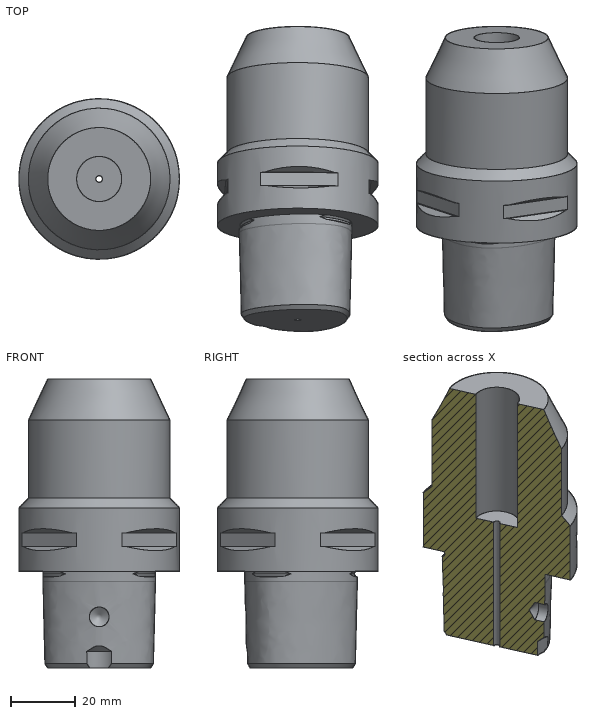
import cadquery as cq
import math

TOTAL_HEIGHT = 90.0
SHANK_CHAMFER_HEIGHT = 1.35
TAPER_TOP = 27.0
COLLAR_BOTTOM = 30.1
COLLAR_TOP = 49.9
SHOULDER_TOP = 52.9
NOSE_START = 77.1

COLLAR_RADIUS = 25.0
BODY_RADIUS = 22.05
NOSE_RADIUS = 16.0
BORE_RADIUS = 7.0
BORE_DEPTH = 45.0
COOLANT_RADIUS = 1.0

LOBE_COUNT = 3
FIRST_LOBE_ANGLE = 90.0
SHANK_RADIUS = 17.55
LOBE_HEIGHT = 1.035
TAPER_SLOPE = 1 / 40
SHANK_CHAMFER = 0.9
OUTLINE_POINTS = 36

RELIEF_TOP_RADIUS = 18.0
RELIEF_FLOOR_RADIUS = 17.6
RELIEF_FLOOR_DROP = 0.7
RELIEF_STEP_RADIUS = 18.0
RELIEF_STEP_DROP = 1.4
RELIEF_OUTER_RADIUS = 18.9
RELIEF_DROP = 2.0

SLOT_COUNT = 4
SLOT_FIRST_ANGLE = 45.0
SLOT_HEIGHT = 40.0
SLOT_FLOOR_DISTANCE = 22.0
SLOT_FLARE_DISTANCE = 22.6
SLOT_FLOOR_WIDTH = 4.2
SLOT_MOUTH_WIDTH = 6.8

DIMPLE_RADIUS = 3.1
DIMPLE_HEIGHT = 15.9
DIMPLE_DEPTH = 3.3
DIMPLE_TIP_ANGLE = 118.0
NOTCH_RADIUS = 5.2
NOTCH_AXIS_Y = -19.2
NOTCH_HEIGHT = 5.1
NOTCH_TIP_ANGLE = 98.0


def turned_body():
    profile = [
        (0, COLLAR_BOTTOM),
        (COLLAR_RADIUS, COLLAR_BOTTOM),
        (COLLAR_RADIUS, COLLAR_TOP),
        (BODY_RADIUS, SHOULDER_TOP),
        (BODY_RADIUS, NOSE_START),
        (NOSE_RADIUS, TOTAL_HEIGHT),
        (0, TOTAL_HEIGHT),
    ]
    return cq.Workplane("XZ").polyline(profile).close().revolve(360, (0, 0), (0, 1))


def lobed_point(mean_radius, angle):
    """Point whose tangent lies mean_radius + LOBE_HEIGHT * cos(3 * lobe angle) from the axis."""
    lobe_angle = LOBE_COUNT * (angle - math.radians(FIRST_LOBE_ANGLE))
    distance = mean_radius + LOBE_HEIGHT * math.cos(lobe_angle)
    slide = -LOBE_COUNT * LOBE_HEIGHT * math.sin(lobe_angle)
    x = distance * math.cos(angle) - slide * math.sin(angle)
    y = distance * math.sin(angle) + slide * math.cos(angle)
    return x, y


def lobed_wire(mean_radius, height):
    start = math.radians(-FIRST_LOBE_ANGLE)
    step = 2 * math.pi / OUTLINE_POINTS
    points = [cq.Vector(*lobed_point(mean_radius, start + i * step), height) for i in range(OUTLINE_POINTS)]
    return cq.Wire.assembleEdges([cq.Edge.makeSpline(points, periodic=True)])


def shank():
    chamfer_radius = SHANK_RADIUS - TAPER_SLOPE * (TAPER_TOP - SHANK_CHAMFER_HEIGHT)
    sections = [
        lobed_wire(chamfer_radius - SHANK_CHAMFER, 0),
        lobed_wire(chamfer_radius, SHANK_CHAMFER_HEIGHT),
        lobed_wire(SHANK_RADIUS, TAPER_TOP),
        lobed_wire(SHANK_RADIUS, COLLAR_BOTTOM),
    ]
    body = cq.Workplane("XY")
    for lower, upper in zip(sections, sections[1:]):
        body = body.add(cq.Solid.makeLoft([lower, upper], True))
    return body.combine()


def lobe_reliefs():
    profile = [
        (RELIEF_TOP_RADIUS, COLLAR_BOTTOM),
        (RELIEF_FLOOR_RADIUS, COLLAR_BOTTOM - RELIEF_FLOOR_DROP),
        (RELIEF_STEP_RADIUS, COLLAR_BOTTOM - RELIEF_STEP_DROP),
        (RELIEF_OUTER_RADIUS, COLLAR_BOTTOM - RELIEF_DROP),
        (RELIEF_OUTER_RADIUS, COLLAR_BOTTOM),
    ]
    return cq.Workplane("XZ").polyline(profile).close().revolve(360, (0, 0), (0, 1))


def gripper_slots():
    floor = SLOT_FLOOR_WIDTH / 2
    mouth = SLOT_MOUTH_WIDTH / 2
    profile = [
        (SLOT_FLOOR_DISTANCE, SLOT_HEIGHT - floor),
        (SLOT_FLARE_DISTANCE, SLOT_HEIGHT - floor),
        (COLLAR_RADIUS, SLOT_HEIGHT - mouth),
        (COLLAR_RADIUS, SLOT_HEIGHT + mouth),
        (SLOT_FLARE_DISTANCE, SLOT_HEIGHT + floor),
        (SLOT_FLOOR_DISTANCE, SLOT_HEIGHT + floor),
    ]
    slot = cq.Workplane("XZ").polyline(profile).close().extrude(COLLAR_RADIUS, both=True)
    slots = cq.Workplane("XY")
    for i in range(SLOT_COUNT):
        angle = SLOT_FIRST_ANGLE + i * 360 / SLOT_COUNT
        slots = slots.add(slot.rotate((0, 0, 0), (0, 0, 1), angle))
    return slots.combine()


def drill(radius, depth, tip_angle):
    """Drilled space along +Z from the origin, with a conical tip beyond the full depth."""
    tip = radius / math.tan(math.radians(tip_angle / 2))
    profile = [(0, 0), (radius, 0), (radius, depth), (0, depth + tip)]
    return cq.Workplane("XZ").polyline(profile).close().revolve(360, (0, 0), (0, 1))


def dimple():
    shank_face = SHANK_RADIUS - LOBE_HEIGHT - TAPER_SLOPE * (TAPER_TOP - DIMPLE_HEIGHT)
    depth = COLLAR_RADIUS - shank_face + DIMPLE_DEPTH
    cut = drill(DIMPLE_RADIUS, depth, DIMPLE_TIP_ANGLE).rotate((0, 0, 0), (1, 0, 0), -90)
    return cut.translate((0, -COLLAR_RADIUS, DIMPLE_HEIGHT))


def key_notch():
    return drill(NOTCH_RADIUS, NOTCH_HEIGHT, NOTCH_TIP_ANGLE).translate((0, NOTCH_AXIS_Y, 0))


def bore():
    tool_bore = (
        cq.Workplane("XY")
        .workplane(offset=TOTAL_HEIGHT - BORE_DEPTH)
        .circle(BORE_RADIUS)
        .extrude(BORE_DEPTH)
    )
    coolant_hole = cq.Workplane("XY").circle(COOLANT_RADIUS).extrude(TOTAL_HEIGHT)
    return tool_bore.union(coolant_hole)


result = (
    turned_body()
    .union(shank())
    .cut(lobe_reliefs())
    .cut(gripper_slots())
    .cut(dimple())
    .cut(key_notch())
    .cut(bore())
)